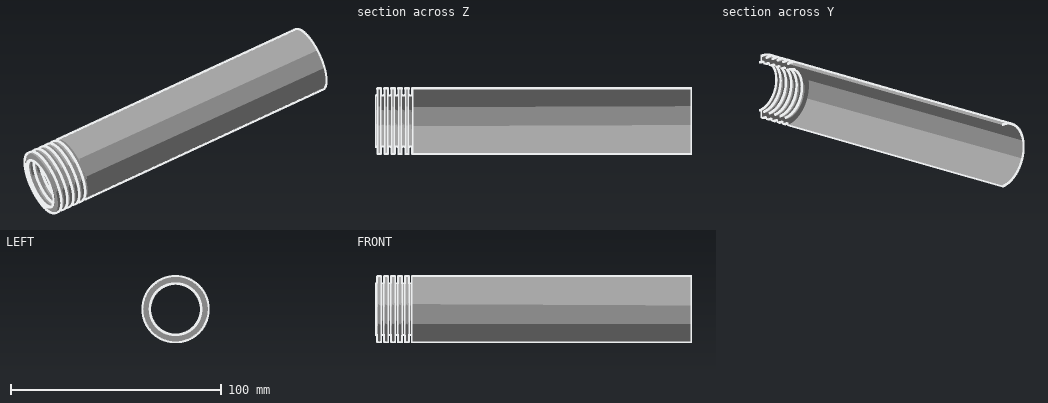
import cadquery as cq

total_length = 150.0
outer_diameter = 31.7
bore_diameter = 24.0
wall = 0.4

fold_count = 5
fold_pitch = 3.3
fold_width = 2.1
neck_length = 0.6
inside_bend = 0.1
outside_bend = inside_bend + wall

crest_radius = outer_diameter / 2
valley_radius = bore_diameter / 2 + wall
fold_starts = [neck_length + i * fold_pitch for i in range(fold_count)]
tube_start = neck_length + fold_count * fold_pitch


def bellows_core(inset, crest_bend, valley_bend):
    """Solid of revolution bounded by the outer skin moved inward by inset."""
    low = valley_radius - inset
    high = crest_radius - inset

    def rise(outline, x):
        """Climb from valley to crest along a flat side at x."""
        outline = outline.lineTo(x - valley_bend, low)
        outline = outline.tangentArcPoint((x, low + valley_bend), relative=False)
        outline = outline.lineTo(x, high - crest_bend)
        return outline.tangentArcPoint((x + crest_bend, high), relative=False)

    def drop(outline, x):
        """Return from crest to valley along a flat side at x."""
        outline = outline.lineTo(x - crest_bend, high)
        outline = outline.tangentArcPoint((x, high - crest_bend), relative=False)
        outline = outline.lineTo(x, low + valley_bend)
        return outline.tangentArcPoint((x + valley_bend, low), relative=False)

    outline = cq.Workplane("XY").lineTo(0, low)
    for start in fold_starts:
        outline = rise(outline, start + inset)
        outline = drop(outline, start + fold_width - inset)
    outline = rise(outline, tube_start + inset)
    outline = outline.lineTo(total_length, high).lineTo(total_length, 0).close()
    return outline.revolve(360, (0, 0, 0), (1, 0, 0))


outer_body = bellows_core(0, outside_bend, inside_bend)
cavity = bellows_core(wall, inside_bend, outside_bend)
result = outer_body.cut(cavity)